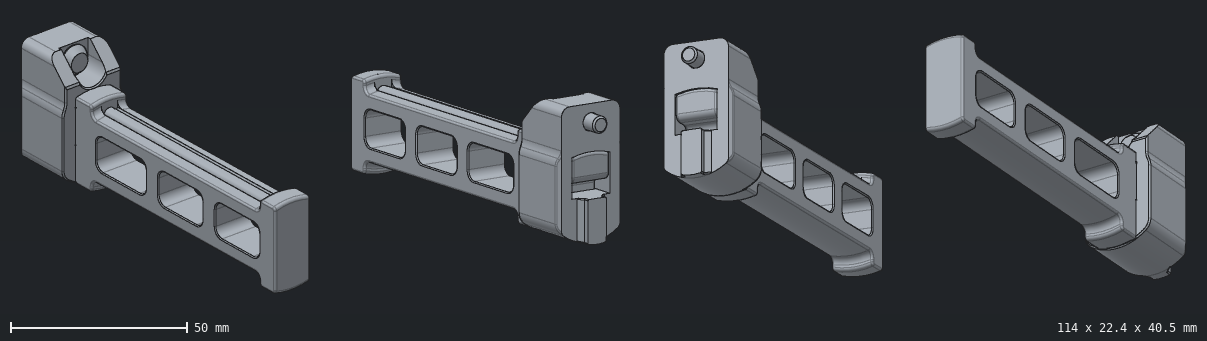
import cadquery as cq
import math

head_length = 20.0
head_height = 40.5
head_half_width = 11.2
neck_half_width = 10.1
neck_bottom_z = 27.9
step_height = 4.6
belly_radius = 16.0
belly_corner_radius = 4.2
head_top_radius = 2.7
head_slope = 7.9
nose_bevel_length = 1.4
nose_bevel_radius = 1.0
tail_chamfer = 0.5

rail_projection = 3.1
rail_half_width = 3.2
rail_root_half_width = 4.8
rail_flare_length = 1.4
rail_chamfer = 0.3

pin_axis_z = 35.1
pin_diameter = 5.0
pin_hole_diameter = 5.4
pin_projection = 4.9
pin_tip_chamfer = 0.6
pin_head_diameter = 9.5
pin_head_end_diameter = 6.0
pin_head_rim = 0.3
pin_head_cone = 2.4
recess_width = 10.6
recess_floor_x = 11.1

bar_end_x = 109.1
bar_half_width = 6.5
slot_half_width = 6.6
bar_axis_z = 14.9
flange_half_height = 14.6
waist_half_height = 10.7
crown_radius = 22.8
root_flange_end_x = 27.1
tip_flange_start_x = 102.1
waist_fillet = 2.0
crown_end_radius = 1.0
side_edge_radius = 0.7

tang_bottom_z = 13.5
tang_top_z = 26.5
tang_step_top_z = 19.6
tang_step_radius = 2.0
tang_undercut_depth = 6.8

window_spans = [(28.7, 51.6), (56.5, 77.0), (82.0, 102.4)]
window_height = 11.7
window_corner_radius = 2.8
window_chamfer = 0.3

rod_diameter = 4.2
rod_axis_z = 24.2
groove_half_width = 3.0
groove_flare_top_z = 25.4

margin = 0.1


def crown_drop(half_width):
    """Fall of a crowned face from mid width to the given half width."""
    return crown_radius - math.sqrt(crown_radius**2 - half_width**2)


def x_cylinder(diameter, start_x, end_x, axis_z):
    """Cylinder along X at mid width."""
    plane = cq.Workplane("YZ", origin=(start_x, 0, axis_z))
    return plane.circle(diameter / 2).extrude(end_x - start_x)


def crowned_prism(half_width, bottom_z, top_z, start_x, end_x):
    """Prism along X with flat sides and a crowned top and bottom."""
    drop = crown_drop(half_width)
    return (
        cq.Workplane("YZ", origin=(start_x, 0, 0))
        .moveTo(half_width, top_z - drop)
        .threePointArc((0, top_z), (-half_width, top_z - drop))
        .lineTo(-half_width, bottom_z + drop)
        .threePointArc((0, bottom_z), (half_width, bottom_z + drop))
        .close()
        .extrude(end_x - start_x)
    )


def tang_prism(half_width):
    """Prism through the head with flat sides and bottom and a crowned top."""
    top_edge_z = tang_top_z - crown_drop(half_width)
    return (
        cq.Workplane("YZ")
        .moveTo(half_width, top_edge_z)
        .threePointArc((0, tang_top_z), (-half_width, top_edge_z))
        .lineTo(-half_width, tang_bottom_z)
        .lineTo(half_width, tang_bottom_z)
        .close()
        .extrude(head_length)
    )


def head_prism(start_x, end_x):
    """Full head cross-section: rounded underside, wide sides, S-shaped step, neck, rounded top."""
    belly_mid_y = head_half_width / 2
    belly_mid_z = belly_radius - math.sqrt(belly_radius**2 - belly_mid_y**2)
    belly_edge_z = belly_radius - math.sqrt(belly_radius**2 - head_half_width**2)
    step_middle = ((head_half_width + neck_half_width) / 2, neck_bottom_z - step_height / 2)
    half = (
        cq.Workplane("YZ", origin=(start_x, 0, 0))
        .moveTo(0, 0)
        .threePointArc((belly_mid_y, belly_mid_z), (head_half_width, belly_edge_z))
        .lineTo(head_half_width, neck_bottom_z - step_height)
        .tangentArcPoint(step_middle, relative=False)
        .tangentArcPoint((neck_half_width, neck_bottom_z), relative=False)
        .lineTo(neck_half_width, head_height)
        .lineTo(0, head_height)
        .close()
        .extrude(end_x - start_x)
    )
    middle_x = (start_x + end_x) / 2
    top_corner = cq.NearestToPointSelector((middle_x, neck_half_width, head_height))
    belly_corner = cq.NearestToPointSelector((middle_x, head_half_width, belly_edge_z))
    half = half.edges("|X").edges(top_corner).fillet(head_top_radius)
    half = half.edges("|X").edges(belly_corner).fillet(belly_corner_radius)
    return half.union(half.mirror("XZ"))


def nose_bevel(side):
    """Wedge that bevels the vertical -X edge of the wide part on one side."""
    depth = head_half_width - neck_half_width
    return (
        cq.Workplane("XY")
        .moveTo(0, side * neck_half_width)
        .lineTo(nose_bevel_length, side * head_half_width)
        .lineTo(nose_bevel_length, side * (head_half_width + depth))
        .lineTo(0, side * (head_half_width + depth))
        .close()
        .extrude(head_height)
    )


def top_bevel():
    """Wedge that bevels the top +X edge of the head."""
    return (
        cq.Workplane("XZ")
        .moveTo(head_length - head_slope, head_height)
        .lineTo(head_length, head_height)
        .lineTo(head_length, head_height - head_slope)
        .close()
        .extrude(head_half_width, both=True)
    )


def pin_recess():
    """U-shaped recess, open upward and toward +X, that takes the head of the pin."""
    length = head_length - recess_floor_x
    floor = x_cylinder(recess_width, recess_floor_x, head_length, pin_axis_z)
    walls = cq.Workplane("XY", origin=(recess_floor_x, 0, pin_axis_z)).box(
        length, recess_width, head_height, centered=(False, True, False)
    )
    return floor.union(walls)


def make_rail():
    """Rail that flares where it meets the head and ends level with the slot's floor."""
    plan = (
        cq.Workplane("XY")
        .moveTo(-rail_projection, -rail_half_width)
        .lineTo(-rail_flare_length, -rail_half_width)
        .lineTo(0, -rail_root_half_width)
        .lineTo(0, rail_root_half_width)
        .lineTo(-rail_flare_length, rail_half_width)
        .lineTo(-rail_projection, rail_half_width)
        .close()
        .extrude(tang_bottom_z)
    )
    rail = plan.intersect(head_prism(-rail_projection, 0))
    return rail.edges("(not |Y) and (not |Z) and (not >X) and (not <X)").chamfer(rail_chamfer)


def make_head():
    """Block with the rail, the slot for the tang, and the hole and recess for the pin."""
    head = head_prism(0, head_length)
    for side in (-1, 1):
        head = head.cut(nose_bevel(side))
    bevel_edges = cq.selectors.BoxSelector(
        (nose_bevel_length - margin, -head_half_width - margin, 0),
        (nose_bevel_length + margin, head_half_width + margin, neck_bottom_z - step_height),
    )
    head = head.edges("|Z").edges(bevel_edges).fillet(nose_bevel_radius)
    head = head.cut(top_bevel()).cut(pin_recess())
    head = head.faces(">X").chamfer(tail_chamfer)
    head = head.union(make_rail())
    head = head.cut(tang_prism(slot_half_width))
    return head.cut(x_cylinder(pin_hole_diameter, 0, recess_floor_x, pin_axis_z))


def make_pin():
    """Round pin with a chamfered tip and a tapered head."""
    shaft = x_cylinder(pin_diameter, -pin_projection, recess_floor_x, pin_axis_z)
    shaft = shaft.faces("<X").chamfer(pin_tip_chamfer)
    rim = x_cylinder(pin_head_diameter, recess_floor_x, recess_floor_x + pin_head_rim, pin_axis_z)
    cone = (
        rim.faces(">X")
        .workplane()
        .circle(pin_head_diameter / 2)
        .workplane(offset=pin_head_cone)
        .circle(pin_head_end_diameter / 2)
        .loft()
    )
    return shaft.union(rim).union(cone)


def window(start_x, end_x):
    """Rounded opening through the bar with chamfered rims."""
    length = end_x - start_x - 2 * window_chamfer
    height = window_height - 2 * window_chamfer
    center = ((start_x + end_x) / 2, 0, bar_axis_z)
    opening = cq.Workplane("XY", origin=center).box(length, 2 * bar_half_width, height)
    return opening.edges("|Y").fillet(window_corner_radius)


def rod_groove():
    """Channel that holds the lower half of the rod and flares above it."""
    rod_radius = rod_diameter / 2
    return (
        cq.Workplane("YZ", origin=(root_flange_end_x, 0, 0))
        .moveTo(-rod_radius, rod_axis_z)
        .threePointArc((0, rod_axis_z - rod_radius), (rod_radius, rod_axis_z))
        .lineTo(groove_half_width, groove_flare_top_z)
        .lineTo(groove_half_width, bar_axis_z + flange_half_height)
        .lineTo(-groove_half_width, bar_axis_z + flange_half_height)
        .lineTo(-groove_half_width, groove_flare_top_z)
        .close()
        .extrude(tip_flange_start_x - root_flange_end_x)
    )


def crown_ends():
    """Selects the end arcs of the crowned flange faces, except those against the head."""
    crown_depth = 2 * crown_drop(bar_half_width)
    selectors = []
    for side in (-1, 1):
        crown_z = bar_axis_z + side * flange_half_height
        selectors.append(
            cq.selectors.BoxSelector(
                (root_flange_end_x - margin, -margin, crown_z - crown_depth),
                (bar_end_x + margin, margin, crown_z + crown_depth),
            )
        )
    return selectors[0] + selectors[1]


def bar_blank():
    """Two end flanges joined by the lower waist, with rounded edges except against the head."""
    waist_start_x = root_flange_end_x
    waist_end_x = tip_flange_start_x
    bottom_z = bar_axis_z - flange_half_height
    top_z = bar_axis_z + flange_half_height
    waist_bottom_z = bar_axis_z - waist_half_height
    waist_top_z = bar_axis_z + waist_half_height
    root = crowned_prism(bar_half_width, bottom_z, top_z, head_length, waist_start_x)
    waist = crowned_prism(bar_half_width, waist_bottom_z, waist_top_z, waist_start_x, waist_end_x)
    tip = crowned_prism(bar_half_width, bottom_z, top_z, waist_end_x, bar_end_x)
    blank = root.union(waist).union(tip)
    for x in (waist_start_x, waist_end_x):
        junction = cq.selectors.BoxSelector(
            (x - margin, -head_half_width, waist_bottom_z - margin),
            (x + margin, head_half_width, waist_top_z + margin),
        )
        blank = blank.edges(junction).fillet(waist_fillet)
    blank = blank.edges(crown_ends()).fillet(crown_end_radius)
    return blank.faces("<Y or >Y").edges("not <X").fillet(side_edge_radius)


def make_bar():
    """Windowed bar with the rod's groove along its top and the tang at its -X end."""
    bar = bar_blank()
    for start_x, end_x in window_spans:
        bar = bar.cut(window(start_x, end_x))
    rims = cq.selectors.BoxSelector(
        (root_flange_end_x, -head_half_width, bar_axis_z - window_height / 2),
        (tip_flange_start_x, head_half_width, bar_axis_z + window_height / 2),
    )
    bar = bar.faces("<Y or >Y").edges(rims).chamfer(window_chamfer)
    return bar.cut(rod_groove()).union(make_tang())


def make_tang():
    """Tongue with a rounded end, stepped back below by a convex and a concave quarter arc."""
    tang = tang_prism(bar_half_width)
    tang = tang.faces("<X").edges(">Z").fillet(crown_end_radius)
    radius = tang_step_radius
    step_bottom_z = tang_step_top_z - 2 * radius
    undercut = (
        cq.Workplane("XZ")
        .moveTo(0, tang_bottom_z)
        .lineTo(0, tang_step_top_z)
        .radiusArc((radius, tang_step_top_z - radius), -radius)
        .lineTo(tang_undercut_depth - radius, tang_step_top_z - radius)
        .radiusArc((tang_undercut_depth, step_bottom_z), radius)
        .lineTo(tang_undercut_depth, tang_bottom_z)
        .close()
        .extrude(bar_half_width, both=True)
    )
    tang = tang.cut(undercut)
    end_outline = cq.selectors.BoxSelector(
        (-margin, -head_half_width, tang_bottom_z + margin),
        (tang_undercut_depth + margin, head_half_width, tang_top_z),
    )
    return tang.faces("<Y or >Y").edges(end_outline).fillet(side_edge_radius)


def make_rod():
    """Plain round rod spanning the gap between the two flanges."""
    return x_cylinder(rod_diameter, root_flange_end_x, tip_flange_start_x, rod_axis_z)


bodies = [make_head(), make_pin(), make_bar(), make_rod()]
result = cq.Compound.makeCompound([body.solids().val() for body in bodies])